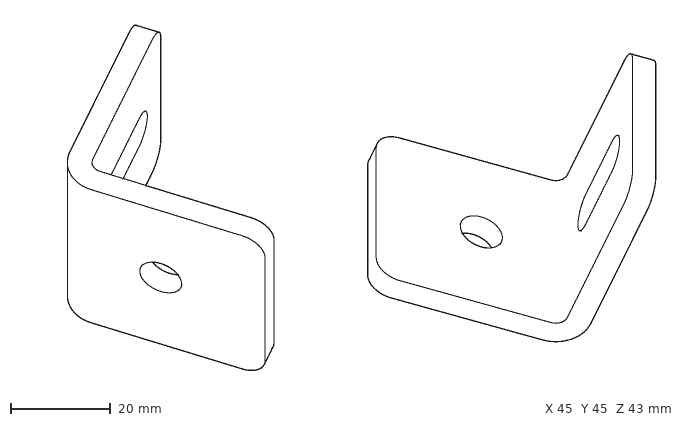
import cadquery as cq

leg_length = 45.0
height = 43.0
thickness = 5.0
inner_bend_radius = 2.5
outer_bend_radius = inner_bend_radius + thickness
corner_radius = 5.0

hole_diameter = 9.0
hole_x = leg_length / 2
slot_width = hole_diameter
slot_length = 24.0
slot_y = 25.5
mid_height = height / 2


def bent_sheet():
    """L-shaped sheet with concentric bend radii, outer corner at the origin."""
    profile = (
        cq.Workplane("XY")
        .moveTo(0, 0)
        .lineTo(leg_length, 0)
        .lineTo(leg_length, thickness)
        .lineTo(thickness, thickness)
        .lineTo(thickness, leg_length)
        .lineTo(0, leg_length)
        .close()
    )
    sheet = profile.extrude(height)
    sheet = sheet.edges(cq.NearestToPointSelector((0, 0, mid_height))).fillet(outer_bend_radius)
    inner_corner = (thickness, thickness, mid_height)
    return sheet.edges(cq.NearestToPointSelector(inner_corner)).fillet(inner_bend_radius)


def round_hole():
    """Cutter through the front leg, along Y."""
    return (
        cq.Workplane("XZ", origin=(hole_x, 0, mid_height))
        .circle(hole_diameter / 2)
        .extrude(-thickness)
    )


def slot():
    """Cutter through the side leg, along X, with its length along Y."""
    return (
        cq.Workplane("YZ", origin=(0, slot_y, mid_height))
        .slot2D(slot_length, slot_width)
        .extrude(thickness)
    )


bracket = bent_sheet()
bracket = bracket.faces(">X").edges("|Y").fillet(corner_radius)
bracket = bracket.faces(">Y").edges("|X").fillet(corner_radius)
result = bracket.cut(round_hole()).cut(slot())